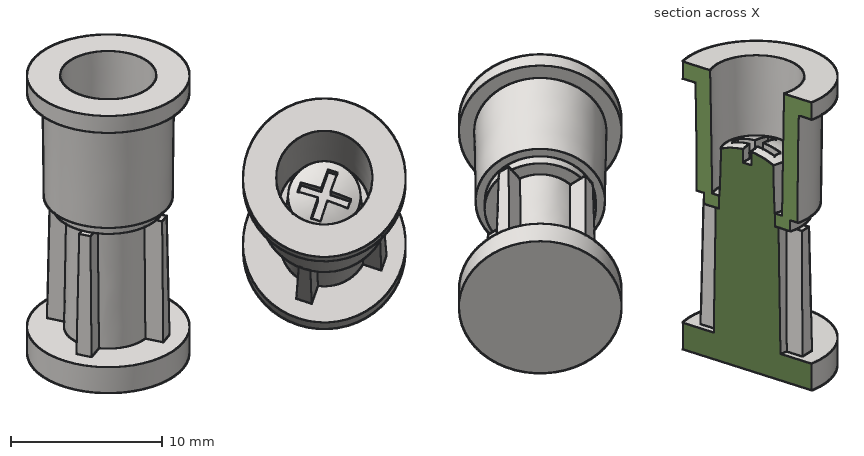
import cadquery as cq

total_height = 21.2
flange_dia = 10.77
base_thickness = 2.0
top_flange_thickness = 1.3

housing_height = 10.0
neck_height = 0.8
neck_dia = 7.35
sleeve_top_dia = 8.75
sleeve_bottom_dia = 8.56
bore_top_dia = 6.35
bore_bottom_dia = 6.05
floor_thickness = 1.0

core_bottom_dia = 5.87
core_top_dia = 5.58
head_bottom_dia = 5.0
head_top_dia = 4.8
head_height = 3.5
dome_height = 0.6

rib_gap = 0.06
rib_span_bottom = 8.33
rib_span_top = 8.05
rib_width_bottom = 1.08
rib_width_top = 0.8

slot_length = 3.5
slot_width = 0.65
slot_depth = 0.5

housing_bottom = total_height - housing_height
sleeve_bottom = housing_bottom + neck_height
flange_bottom = total_height - top_flange_thickness
floor_top = housing_bottom + floor_thickness
head_edge = floor_top + head_height
dome_top = head_edge + dome_height
rib_height = housing_bottom - rib_gap - base_thickness


def make_housing():
    """Revolve the half section of the flanged sleeve with its stepped bore."""
    section = [
        (head_bottom_dia / 2, housing_bottom),
        (neck_dia / 2, housing_bottom),
        (neck_dia / 2, sleeve_bottom),
        (sleeve_bottom_dia / 2, sleeve_bottom),
        (sleeve_top_dia / 2, flange_bottom),
        (flange_dia / 2, flange_bottom),
        (flange_dia / 2, total_height),
        (bore_top_dia / 2, total_height),
        (bore_bottom_dia / 2, floor_top),
        (head_bottom_dia / 2, floor_top),
    ]
    return cq.Workplane("XZ").polyline(section).close().revolve(360, (0, 0), (0, 1))


def make_pin_body():
    """Revolve the base, the tapered core and the domed head."""
    head_radius = head_top_dia / 2
    dome_radius = (head_radius**2 + dome_height**2) / (2 * dome_height)
    mid_x = head_radius / 2
    mid_z = dome_top - dome_radius + (dome_radius**2 - mid_x**2) ** 0.5
    return (
        cq.Workplane("XZ")
        .lineTo(flange_dia / 2, 0)
        .lineTo(flange_dia / 2, base_thickness)
        .lineTo(core_bottom_dia / 2, base_thickness)
        .lineTo(core_top_dia / 2, housing_bottom)
        .lineTo(head_bottom_dia / 2, housing_bottom)
        .lineTo(head_bottom_dia / 2, floor_top)
        .lineTo(head_radius, head_edge)
        .threePointArc((mid_x, mid_z), (0, dome_top))
        .close()
        .revolve(360, (0, 0), (0, 1))
    )


def make_rib_pair(angle):
    """Loft a tapered bar whose two ends are opposite ribs."""
    bar = (
        cq.Workplane("XY", origin=(0, 0, base_thickness))
        .rect(rib_span_bottom, rib_width_bottom)
        .workplane(offset=rib_height)
        .rect(rib_span_top, rib_width_top)
        .loft()
    )
    return bar.rotate((0, 0, 0), (0, 0, 1), angle)


def make_slot(angle):
    """Cutter for one arm of the cross recess."""
    cutter = (
        cq.Workplane("XY", origin=(0, 0, head_edge - slot_depth))
        .rect(slot_length, slot_width)
        .extrude(slot_depth + dome_height)
    )
    return cutter.rotate((0, 0, 0), (0, 0, 1), angle)


def make_pin():
    pin = make_pin_body()
    for angle in (0, 90):
        pin = pin.union(make_rib_pair(angle))
        pin = pin.cut(make_slot(angle))
    return pin


housing = make_housing()
pin = make_pin()
result = cq.Compound.makeCompound([housing.val(), pin.val()])